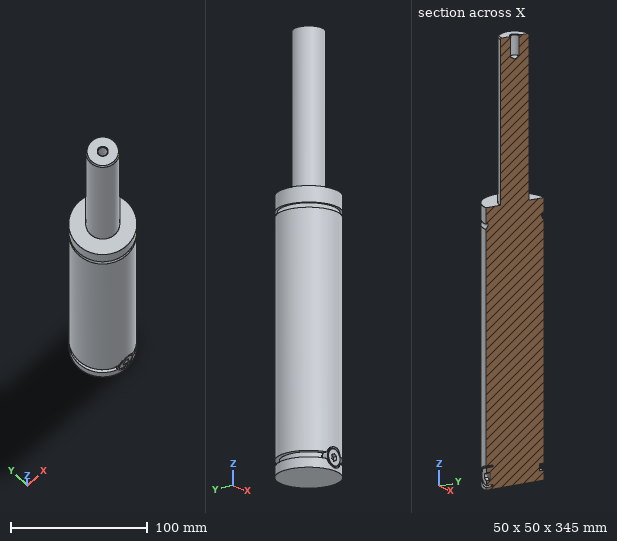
import cadquery as cq
import math

body_diameter = 50.0
body_height = 217.0
body_radius = body_diameter / 2

rod_diameter = 25.0
overall_height = 345.0
rod_edge_chamfer = 1.0

base_groove_diameter = 43.0
base_groove_bottom = 8.0
base_groove_width = 5.0

collar_height = 12.7
collar_groove_depth = 2.0
collar_groove_width = 4.0

rod_hole_diameter = 6.8
rod_hole_depth = 16.0
rod_hole_chamfer = 0.6
drill_point_angle = 118.0

port_height = 10.5
pocket_diameter = 16.0
pocket_floor_offset = 19.0
plug_diameter = 14.0
plug_face_offset = 24.5
plug_chamfer = 0.5
socket_across_flats = 5.0
socket_depth = 3.0


def revolve_about_z(outline):
    """Turn a closed outline in the XZ plane about the Z axis."""
    return outline.revolve(360, (0, 0), (0, 1))


def make_body():
    """Grooved cylinder together with its rod."""
    base_groove_radius = base_groove_diameter / 2
    base_groove_top = base_groove_bottom + base_groove_width
    collar_bottom = body_height - collar_height
    collar_groove_floor = body_radius - collar_groove_depth
    collar_groove_bottom = collar_bottom - collar_groove_width
    arc_radius = (collar_groove_depth**2 + collar_groove_width**2) / (2 * collar_groove_depth)
    half_arc = math.asin(collar_groove_width / arc_radius) / 2
    arc_middle = (
        collar_groove_floor + arc_radius * (1 - math.cos(half_arc)),
        collar_bottom - arc_radius * math.sin(half_arc),
    )
    rod_radius = rod_diameter / 2

    below_arc = [
        (0, 0),
        (body_radius, 0),
        (body_radius, base_groove_bottom),
        (base_groove_radius, base_groove_bottom),
        (base_groove_radius, base_groove_top),
        (body_radius, base_groove_top),
        (body_radius, collar_groove_bottom),
    ]
    above_arc = [
        (body_radius, collar_bottom),
        (body_radius, body_height),
        (rod_radius, body_height),
        (rod_radius, overall_height - rod_edge_chamfer),
        (rod_radius - rod_edge_chamfer, overall_height),
        (0, overall_height),
    ]
    outline = (
        cq.Workplane("XZ")
        .polyline(below_arc)
        .threePointArc(arc_middle, (collar_groove_floor, collar_bottom))
        .polyline(above_arc, includeCurrent=True)
        .close()
    )
    return revolve_about_z(outline)


def drill_rod_end(part):
    """Blind hole with a chamfered mouth and a conical drill point in the free end of the rod."""
    hole_radius = rod_hole_diameter / 2
    wall_bottom = overall_height - rod_hole_depth
    point_depth = hole_radius / math.tan(math.radians(drill_point_angle / 2))
    outline = [
        (0, overall_height),
        (hole_radius + rod_hole_chamfer, overall_height),
        (hole_radius, overall_height - rod_hole_chamfer),
        (hole_radius, wall_bottom),
        (0, wall_bottom - point_depth),
    ]
    return part.cut(revolve_about_z(cq.Workplane("XZ").polyline(outline).close()))


def port_plane(outer_offset):
    """Workplane across the port axis, facing -Y."""
    return cq.Workplane("XZ", origin=(0, -outer_offset, port_height))


def port_cylinder(diameter, outer_offset, inner_offset):
    """Cylinder on the port axis between two distances from the body axis, on the -Y side."""
    return port_plane(outer_offset).circle(diameter / 2).extrude(inner_offset - outer_offset)


def add_port(part):
    """Round pocket holding a smaller plug with a hexagon socket."""
    pocket = port_cylinder(pocket_diameter, body_radius, pocket_floor_offset)
    plug = port_cylinder(plug_diameter, plug_face_offset, 0)
    plug = plug.faces("<Y").chamfer(plug_chamfer)
    across_corners = socket_across_flats / math.cos(math.pi / 6)
    socket = (
        port_plane(plug_face_offset)
        .transformed(rotate=(0, 0, 90))
        .polygon(6, across_corners)
        .extrude(-socket_depth)
    )
    return part.cut(pocket).union(plug).cut(socket)


result = add_port(drill_rod_end(make_body()))